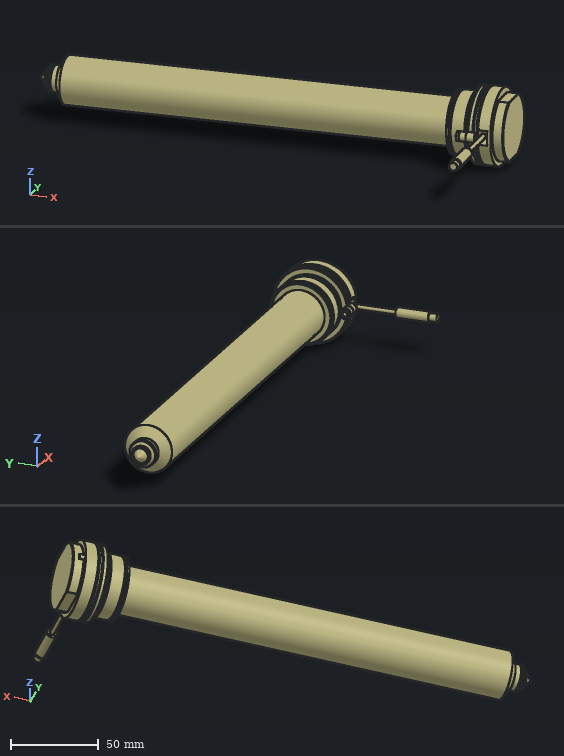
import cadquery as cq
import math

total_length = 284.0

barrel_radius = 14.5
cone_length = 4.5
tip_land_radius = 5.5
tip_land_end = 6.0
neck_radius = 8.0
neck_start = 7.0
neck_end = 12.2
shoulder_end = 16.3
tip_groove_start = 7.6
tip_groove_width = 1.2

collar_start = 249.2
collar_radius = 19.0
collar_bevel_length = 0.4
collar_bevel_depth = 1.0
collar_groove_starts = (250.9, 260.4)
collar_groove_width = 1.3
groove_depth = 0.3
flange_start = 263.6
flange_end = 267.0
flange_radius = 23.0
edge_chamfer = 0.5

spigot_radius = 22.0
disc_start = 268.7
disc_end = 277.2
disc_bevel_length = 1.1
disc_bevel_depth = 0.4
nut_radius = 20.0
nut_across_flats = 36.0
stud_length = 3.2
stud_radius = 1.5
stud_offset = 20.4

pin_offset = 23.5
pin_radius = 3.0
pin_start = 257.8
pin_band_end = 259.5
pin_step = 0.1
pin_point_radius = 1.5
pin_point_length = 1.2
pin_stem_radius = 1.8
pin_stem_end = 270.2

recess_radius = 4.5
recess_end = 275.2
rim_flat_start = 270.5
rim_flat_half_width = 5.1

cable_x = 272.0
cable_radius = 1.5
cable_socket_depth = 1.0
cable_start = pin_offset - recess_radius - cable_socket_depth
plug_start = 50.0
plug_end = 70.0
plug_radius = 3.2
contact_end = 75.0
contact_radius = 2.5


def rod(radius, start, end, y=0.0):
    """Cylinder parallel to X between two X positions."""
    return cq.Workplane("YZ", origin=(start, y, 0)).circle(radius).extrude(end - start)


def cross_rod(radius, start, end):
    """Cylinder on the cable axis between two distances along -Y."""
    return cq.Workplane("XZ", origin=(cable_x, -start, 0)).circle(radius).extrude(end - start)


def turned(profile):
    """Solid of revolution about X from (x, radius) points."""
    return cq.Workplane("XY").polyline(profile).close().revolve(360, (0, 0, 0), (1, 0, 0))


def bevelled_rod(radius, start, end, bevel_length, bevel_depth):
    """Cylinder parallel to X with a bevel on the edge nearest the tip."""
    return turned([
        (start, 0),
        (start, radius - bevel_depth),
        (start + bevel_length, radius),
        (end, radius),
        (end, 0),
    ])


def ring_groove(outer_radius, start, width):
    """Ring to cut from a cylinder to leave a shallow groove."""
    return rod(outer_radius + 1.0, start, start + width).cut(
        rod(outer_radius - groove_depth, start, start + width)
    )


def make_barrel():
    profile = [
        (0, 0),
        (cone_length, cone_length),
        (cone_length, tip_land_radius),
        (tip_land_end, tip_land_radius),
        (neck_start, neck_radius),
        (neck_end, neck_radius),
        (shoulder_end, barrel_radius),
        (flange_end, barrel_radius),
        (flange_end, 0),
    ]
    return turned(profile).cut(ring_groove(neck_radius, tip_groove_start, tip_groove_width))


def make_collar():
    sleeve = bevelled_rod(
        collar_radius, collar_start, flange_end, collar_bevel_length, collar_bevel_depth
    )
    for start in collar_groove_starts:
        sleeve = sleeve.cut(ring_groove(collar_radius, start, collar_groove_width))
    flange = rod(flange_radius, flange_start, flange_end).edges().chamfer(edge_chamfer)
    barrel_bore = rod(barrel_radius, collar_start, flange_end)
    pin_seat = rod(pin_radius, flange_start, flange_end, -pin_offset)
    return sleeve.union(flange).cut(barrel_bore).cut(pin_seat)


def make_nut():
    nut = rod(nut_radius, disc_end, total_length).edges().chamfer(edge_chamfer)
    flats = cq.Workplane("XY").box(2 * total_length, 4 * nut_radius, nut_across_flats)
    return nut.intersect(flats)


def make_cap():
    spigot = rod(spigot_radius, flange_end, disc_start)
    disc = bevelled_rod(flange_radius, disc_start, disc_end, disc_bevel_length, disc_bevel_depth)
    stud = rod(stud_radius, disc_end, disc_end + stud_length, stud_offset)
    cap = spigot.union(disc).union(make_nut()).union(stud)

    pin_seat = rod(pin_radius, flange_end, disc_start, -pin_offset)
    recess = rod(recess_radius, disc_start, recess_end, -pin_offset)
    flat_y = math.sqrt(flange_radius**2 - rim_flat_half_width**2)
    rim_flat = cq.Workplane("XY", origin=(rim_flat_start, -flat_y - flange_radius, 0)).box(
        disc_end - rim_flat_start,
        flange_radius,
        2 * rim_flat_half_width,
        centered=(False, False, True),
    )
    cable_socket = cross_rod(cable_radius, cable_start, flange_radius)
    return cap.cut(pin_seat).cut(recess).cut(rim_flat).cut(cable_socket)


def make_pin():
    shank_radius = pin_radius - pin_step
    band_radius = shank_radius - pin_step
    profile = [
        (pin_start - pin_point_length, 0),
        (pin_start, pin_point_radius),
        (pin_start, band_radius),
        (pin_band_end, band_radius),
        (pin_band_end, shank_radius),
        (flange_start, shank_radius),
        (flange_start, pin_radius),
        (disc_start, pin_radius),
        (disc_start, pin_stem_radius),
        (pin_stem_end, pin_stem_radius),
        (pin_stem_end, 0),
    ]
    return turned(profile).translate((0, -pin_offset, 0))


def make_cable():
    wire = cross_rod(cable_radius, cable_start, plug_start)
    plug = cross_rod(plug_radius, plug_start, plug_end)
    contact = cross_rod(contact_radius, plug_end, contact_end)
    return wire.union(plug).union(contact)


barrel = make_barrel()
collar = make_collar()
cap = make_cap()
pin = make_pin()
cable = make_cable()

result = cq.Compound.makeCompound([barrel.val(), collar.val(), cap.val(), pin.val(), cable.val()])